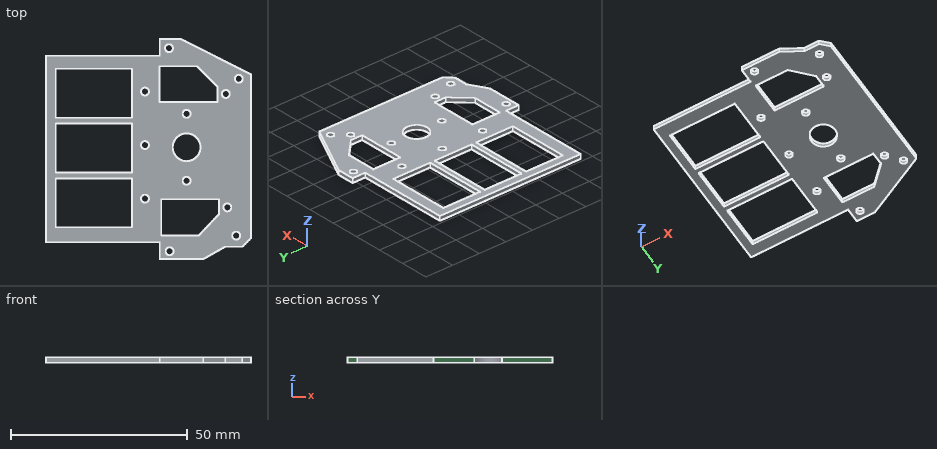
import cadquery as cq

width = 58.2
length = 62.4
thickness = 1.6

step_x = 32.2
step_depth = 4.75
top_edge_end_x = 38.3
right_edge_top_y = 52.4
bottom_edge_end_x = 44.65
ledge_start_x = 50.8
ledge_y = 3.5
corner_chamfer = 2.5

window_count = 3
window_width = 21.55
window_length = 13.8
window_pitch = 15.55
window_left_x = 2.8
first_window_bottom_y = 9.05

upper_opening_left_x = 32.2
upper_opening_bottom_y = 44.6
upper_opening_width = 16.4
upper_opening_length = 10.05
upper_opening_clip = 5.8
lower_opening_left_x = 32.7
lower_opening_bottom_y = 6.75
lower_opening_width = 16.35
lower_opening_length = 10.25
lower_opening_clip_x = 5.75
lower_opening_clip_y = 6.05

small_diameter = 2.2
center_diameter = 7.8
center_x = 39.9
center_y = 31.7
center_pair_offset = 9.5
row_x = 28.1
row_middle_y = 32.35
row_pitch = 15.2
edge_hole_points = [
    (34.9, 59.8),
    (54.7, 51.1),
    (51.0, 46.8),
    (51.45, 14.7),
    (53.95, 6.7),
    (35.1, 2.25),
]


def make_plate():
    """Flat plate with stepped left side and sloped right corners."""
    outline = [
        (0, step_depth),
        (step_x, step_depth),
        (step_x, 0),
        (bottom_edge_end_x, 0),
        (ledge_start_x, ledge_y),
        (width - corner_chamfer, ledge_y),
        (width, ledge_y + corner_chamfer),
        (width, right_edge_top_y),
        (top_edge_end_x, length),
        (step_x, length),
        (step_x, length - step_depth),
        (0, length - step_depth),
    ]
    return cq.Workplane("XY").polyline(outline).close().extrude(thickness)


def prism(points):
    """Full-thickness cutter with the given outline."""
    return cq.Workplane("XY").polyline(points).close().extrude(thickness)


def window_cutter(index):
    """One rectangular window, counted from the bottom."""
    bottom = first_window_bottom_y + index * window_pitch
    return (
        cq.Workplane("XY")
        .box(window_width, window_length, thickness, centered=False)
        .translate((window_left_x, bottom, 0))
    )


def upper_opening_cutter():
    """Opening clipped at its upper right corner."""
    left = upper_opening_left_x
    bottom = upper_opening_bottom_y
    right = left + upper_opening_width
    top = bottom + upper_opening_length
    return prism([
        (left, bottom),
        (right, bottom),
        (right, top - upper_opening_clip),
        (right - upper_opening_clip, top),
        (left, top),
    ])


def lower_opening_cutter():
    """Opening clipped at its lower right corner."""
    left = lower_opening_left_x
    bottom = lower_opening_bottom_y
    right = left + lower_opening_width
    top = bottom + lower_opening_length
    return prism([
        (left, bottom),
        (right - lower_opening_clip_x, bottom),
        (right, bottom + lower_opening_clip_y),
        (right, top),
        (left, top),
    ])


def hole_cutter(points, diameter):
    """Through holes of one diameter at the given points."""
    return cq.Workplane("XY").pushPoints(points).circle(diameter / 2).extrude(thickness)


row_points = [(row_x, row_middle_y + i * row_pitch) for i in (-1, 0, 1)]
center_pair_points = [(center_x, center_y + side * center_pair_offset) for side in (-1, 1)]
small_hole_points = edge_hole_points + row_points + center_pair_points

result = make_plate()
for window_index in range(window_count):
    result = result.cut(window_cutter(window_index))
result = result.cut(upper_opening_cutter())
result = result.cut(lower_opening_cutter())
result = result.cut(hole_cutter(small_hole_points, small_diameter))
result = result.cut(hole_cutter([(center_x, center_y)], center_diameter))